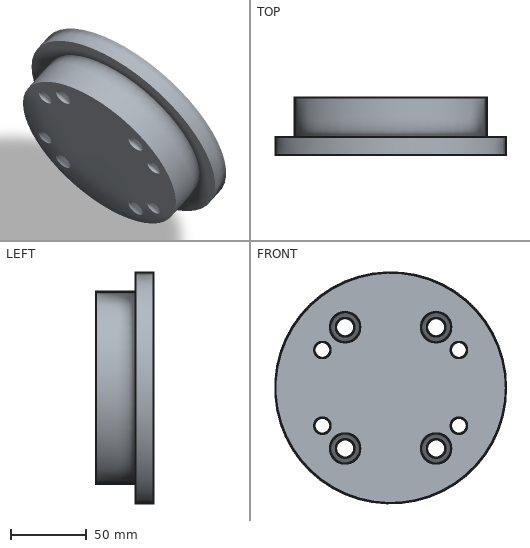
import cadquery as cq

flange_diameter = 152.4
flange_thickness = 12.0
total_depth = 38.1
boss_diameter = 127.0

bolt_spacing_x = 60.0
bolt_spacing_z = 80.0
bolt_hole_diameter = 12.0
counterbore_diameter = 20.0
counterbore_depth = 13.0

plain_spacing_x = 90.0
plain_spacing_z = 50.0
plain_hole_diameter = 10.5


def disc(diameter, depth):
    """Solid disc from the front face back along +Y."""
    return cq.Workplane("XZ").circle(diameter / 2).extrude(-depth)


def four_holes(spacing_x, spacing_z, diameter, depth):
    """Cutters at the corners of a centred rectangle, sunk from the front face."""
    return (
        cq.Workplane("XZ")
        .rect(spacing_x, spacing_z, forConstruction=True)
        .vertices()
        .circle(diameter / 2)
        .extrude(-depth)
    )


body = disc(flange_diameter, flange_thickness).union(disc(boss_diameter, total_depth))

bolt_holes = four_holes(bolt_spacing_x, bolt_spacing_z, bolt_hole_diameter, total_depth)
counterbores = four_holes(bolt_spacing_x, bolt_spacing_z, counterbore_diameter, counterbore_depth)
plain_holes = four_holes(plain_spacing_x, plain_spacing_z, plain_hole_diameter, total_depth)

result = body.cut(bolt_holes).cut(counterbores).cut(plain_holes)